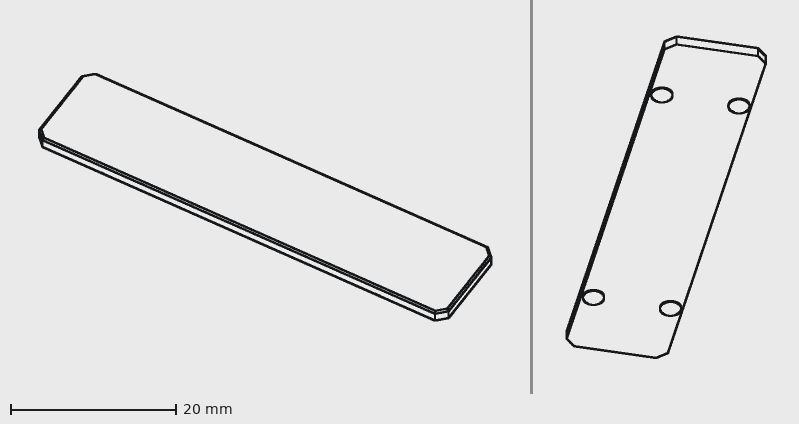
import cadquery as cq

PLATE_LENGTH = 57.65
PLATE_WIDTH = 12.55
OVERALL_HEIGHT = 1.65
CORNER_CHAMFER = 1.2
RIM_CHAMFER = 0.25

FOOT_DIAMETER = 2.6
FOOT_HEIGHT = 0.15
FOOT_END_INSET = 9.5
FOOT_SIDE_INSET = 1.5

plate_thickness = OVERALL_HEIGHT - FOOT_HEIGHT
foot_offset_x = PLATE_LENGTH / 2 - FOOT_END_INSET
foot_offset_y = PLATE_WIDTH / 2 - FOOT_SIDE_INSET


def make_plate():
    """Plate with its underside at Z = 0."""
    blank = cq.Workplane("XY").box(
        PLATE_LENGTH, PLATE_WIDTH, plate_thickness, centered=(True, True, False)
    )
    clipped = blank.edges("|Z").chamfer(CORNER_CHAMFER)
    return clipped.faces(">Z").edges().chamfer(RIM_CHAMFER)


def make_foot(x, y):
    """Round pad hanging from the underside of the plate."""
    return cq.Workplane("XY").center(x, y).circle(FOOT_DIAMETER / 2).extrude(-FOOT_HEIGHT)


plate = make_plate()

feet = []
for side_x in (-1, 1):
    for side_y in (-1, 1):
        foot = make_foot(side_x * foot_offset_x, side_y * foot_offset_y)
        feet.append(foot.val())

result = cq.Compound.makeCompound([plate.val(), *feet])